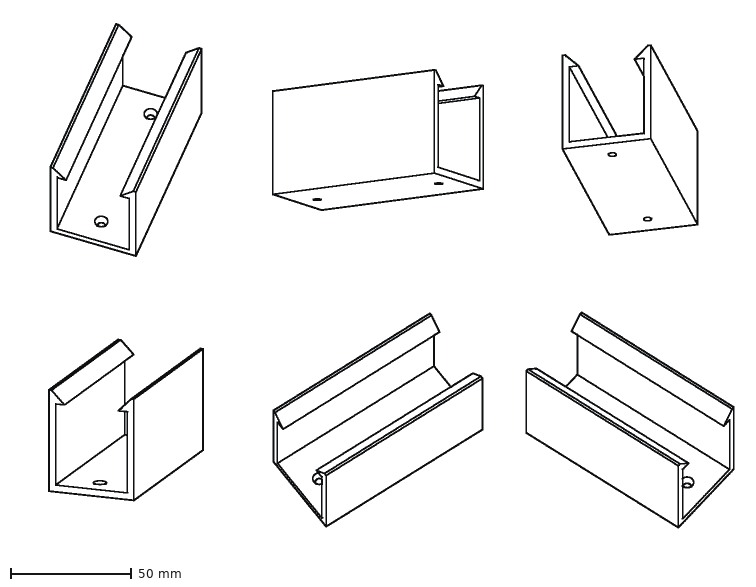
import cadquery as cq

length = 80.0
outer_width = 38.0
height = 44.0
inner_width = 32.0
wall = (outer_width - inner_width) / 2

lip_gap = 24.0
lip_flat = 1.2
lip_reach = (outer_width - lip_gap) / 2
lip_height = lip_reach - lip_flat

hole_diameter = 3.2
sink_diameter = 5.4
hole_spacing = 60.0


def channel():
    """U-shaped channel with inward lips, centred on X and Y, floor at Z = 0."""
    half_outer = outer_width / 2
    half_inner = inner_width / 2
    lip_bottom = height - lip_height
    right_half = [
        (0, 0),
        (half_outer, 0),
        (half_outer, height),
        (half_outer - lip_flat, height),
        (lip_gap / 2, lip_bottom),
        (half_inner, lip_bottom),
        (half_inner, wall),
        (0, wall),
    ]
    half = cq.Workplane("XZ").polyline(right_half).close().extrude(length / 2, both=True)
    return half.union(half.mirror("YZ")).clean()


def screw_holes():
    """Conical cutters, widest at the inner floor surface."""
    hole_centres = [(0, -hole_spacing / 2), (0, hole_spacing / 2)]
    cone = cq.Solid.makeCone(hole_diameter / 2, sink_diameter / 2, wall)
    return cq.Workplane("XY").pushPoints(hole_centres).eachpoint(cone)


result = channel().cut(screw_holes())